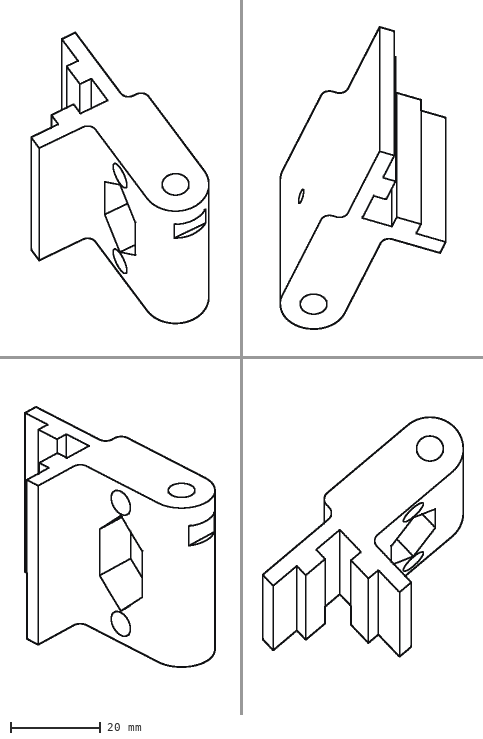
import cadquery as cq

HEIGHT = 42.0

ARM_LENGTH = 20.0
ARM_THICKNESS = 3.55
RIB_OFFSET = 7.1
RIB_WIDTH = 5.8
RIB_HEIGHT = 3.0

OVERALL_LENGTH = 55.45
LEVER_WIDTH = 14.95
LEVER_STEP = 4.9
LEVER_START = 1.8
FILLET_RADIUS = 2.0
PIVOT_DIAMETER = 6.0

POCKET_CENTER = 16.25
POCKET_WIDTH = 13.25
POCKET_HEIGHT = 25.2
POCKET_SIDE = 12.2
POCKET_DEPTH = 10.0
THROUGH_DIAMETER = 3.2
BLIND_DIAMETER = 6.0
BLIND_SPACING = 31.95
BLIND_DEPTH = 10.0

NOTCH_DEPTH = 1.2
NOTCH_HEIGHT = 5.15
NOTCH_TOP_OFFSET = 4.9

lever_back = ARM_THICKNESS + LEVER_STEP
lever_front = lever_back - LEVER_WIDTH
lever_middle = (lever_back + lever_front) / 2
lever_tip = OVERALL_LENGTH - ARM_LENGTH
pivot_x = lever_tip - LEVER_WIDTH / 2


def block(x_range, y_range, height=HEIGHT, z_middle=0):
    """Box spanning the given X and Y ranges, centred on z_middle."""
    x_size = x_range[1] - x_range[0]
    y_size = y_range[1] - y_range[0]
    center = (sum(x_range) / 2, sum(y_range) / 2, z_middle)
    return cq.Workplane("XY").box(x_size, y_size, height).translate(center)


def make_profile():
    """Angle and lever in one extrusion, with the lever's corners rounded."""
    outline = (
        cq.Workplane("XY", origin=(0, 0, -HEIGHT / 2))
        .moveTo(-ARM_LENGTH, 0)
        .lineTo(-ARM_LENGTH, ARM_THICKNESS)
        .lineTo(LEVER_START, ARM_THICKNESS)
        .lineTo(LEVER_START, lever_back)
        .lineTo(pivot_x, lever_back)
        .threePointArc((lever_tip, lever_middle), (pivot_x, lever_front))
        .lineTo(ARM_THICKNESS, lever_front)
        .lineTo(ARM_THICKNESS, -ARM_LENGTH)
        .lineTo(0, -ARM_LENGTH)
        .lineTo(0, 0)
        .close()
    )
    body = outline.extrude(HEIGHT)
    rounded_corners = (
        (LEVER_START, ARM_THICKNESS),
        (LEVER_START, lever_back),
        (ARM_THICKNESS, lever_front),
    )
    for x, y in rounded_corners:
        corner_edge = cq.selectors.NearestToPointSelector((x, y, 0))
        body = body.edges(corner_edge).fillet(FILLET_RADIUS)
    return body


def add_ribs(body):
    """One full-height rib on the inner face of each arm."""
    along = (-ARM_LENGTH + RIB_OFFSET, -ARM_LENGTH + RIB_OFFSET + RIB_WIDTH)
    across = (-RIB_HEIGHT, 0)
    return body.union(block(along, across)).union(block(across, along))


def lever_hole(diameter, depth, z):
    """Round cutter entering the -Y side of the lever."""
    plane = cq.Workplane("XZ", origin=(POCKET_CENTER, lever_front, z))
    return plane.circle(diameter / 2).extrude(-depth)


def pocket():
    """Pointed hexagonal cutter with vertical sides."""
    half_width = POCKET_WIDTH / 2
    half_side = POCKET_SIDE / 2
    half_height = POCKET_HEIGHT / 2
    corners = [
        (0, half_height),
        (half_width, half_side),
        (half_width, -half_side),
        (0, -half_height),
        (-half_width, -half_side),
        (-half_width, half_side),
    ]
    plane = cq.Workplane("XZ", origin=(POCKET_CENTER, lever_front, 0))
    return plane.polyline(corners).close().extrude(-POCKET_DEPTH)


def pivot_hole():
    plane = cq.Workplane("XY", origin=(pivot_x, lever_middle, -HEIGHT / 2))
    return plane.circle(PIVOT_DIAMETER / 2).extrude(HEIGHT)


def tip_notch():
    z_middle = HEIGHT / 2 - NOTCH_TOP_OFFSET - NOTCH_HEIGHT / 2
    x_range = (lever_tip - NOTCH_DEPTH, lever_tip + NOTCH_DEPTH)
    return block(x_range, (lever_front, lever_back), NOTCH_HEIGHT, z_middle)


result = add_ribs(make_profile())
result = result.cut(pivot_hole()).cut(pocket()).cut(tip_notch())
result = result.cut(lever_hole(THROUGH_DIAMETER, LEVER_WIDTH, 0))
for blind_z in (-BLIND_SPACING / 2, BLIND_SPACING / 2):
    result = result.cut(lever_hole(BLIND_DIAMETER, BLIND_DEPTH, blind_z))